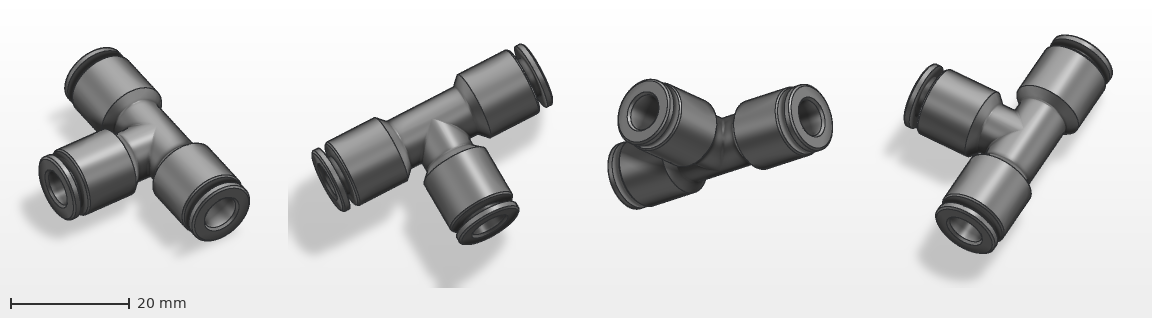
import cadquery as cq

run_length = 40.4
overall_depth = 26.2
body_radius = 12.0 / 2
branch_reach = overall_depth - body_radius
tube_radius = 4.5

collar_radius = 5.78
collar_thickness = 1.2
collar_chamfer_length = 0.3
collar_chamfer_height = 0.35
neck_radius = 3.65
neck_fillet = 0.15

body_lip_depth = 2.45
body_face_depth = 2.7
body_lip_radius = 4.6
body_chamfer_length = 0.32
body_chamfer_height = 0.25
taper_depth = 12.2
taper_length = body_radius - tube_radius
taper_fillet = 0.4
crotch_fillet = 0.4

bore_radius = 2.5
socket_radius = 3.1
mouth_radius = 3.47
mouth_depth = 0.5
socket_depth = taper_depth
shoulder_length = socket_radius - bore_radius

edge_margin = 0.05


def revolve_port(points):
    """Revolve a (radius, depth) outline about the port axis; depth runs along +Z."""
    profile = cq.Workplane("XZ").polyline(points).close()
    return profile.revolve(360, (0, 0, 0), (0, 1, 0))


def slab_at(depth, half_width):
    """Selector for edges lying at one depth and within half_width of the port axis."""
    return cq.selectors.BoxSelector(
        (-half_width, -half_width, depth - edge_margin),
        (half_width, half_width, depth + edge_margin),
        boundingbox=True,
    )


def port_at_origin(reach):
    """Port with its face at Z = 0 and its connecting tube ending at depth `reach`."""
    taper_end = taper_depth + taper_length
    body_corner = body_face_depth + body_chamfer_length
    port = revolve_port([
        (0, 0),
        (collar_radius - collar_chamfer_height, 0),
        (collar_radius, collar_chamfer_length),
        (collar_radius, collar_thickness),
        (neck_radius, collar_thickness),
        (neck_radius, body_lip_depth),
        (body_lip_radius, body_face_depth),
        (body_radius - body_chamfer_height, body_face_depth),
        (body_radius, body_corner),
        (body_radius, taper_depth),
        (tube_radius, taper_end),
        (tube_radius, reach),
        (0, reach),
    ])
    neck_root = slab_at(collar_thickness, neck_radius + edge_margin)
    taper_root = slab_at(taper_end, tube_radius + edge_margin)
    port = port.edges(neck_root).fillet(neck_fillet)
    return port.edges(taper_root).fillet(taper_fillet)


def bore_at_origin(reach):
    """Stepped bore of a port, from its face at Z = 0 to depth `reach`."""
    return revolve_port([
        (0, 0),
        (mouth_radius, 0),
        (socket_radius, mouth_depth),
        (socket_radius, socket_depth),
        (bore_radius, socket_depth + shoulder_length),
        (bore_radius, reach),
        (0, reach),
    ])


def place(shape, reach, turn):
    """Point a port's face outward along +X at `reach`, then turn it about Z."""
    outward = shape.rotate((0, 0, 0), (0, 1, 0), -90).translate((reach, 0, 0))
    return outward.rotate((0, 0, 0), (0, 0, 1), turn)


run_reach = run_length / 2
ports = [(run_reach, 0), (run_reach, 180), (branch_reach, -90)]

placed_ports = [place(port_at_origin(reach), reach, turn) for reach, turn in ports]
result = placed_ports[0]
for port in placed_ports[1:]:
    result = result.union(port)

crotch_reach = tube_radius + edge_margin
crotch_zone = cq.selectors.BoxSelector(
    (-crotch_reach, -crotch_reach, -crotch_reach),
    (crotch_reach, edge_margin, crotch_reach),
    boundingbox=True,
)
result = result.edges(crotch_zone).edges("%ELLIPSE").fillet(crotch_fillet)

for reach, turn in ports:
    result = result.cut(place(bore_at_origin(reach), reach, turn))